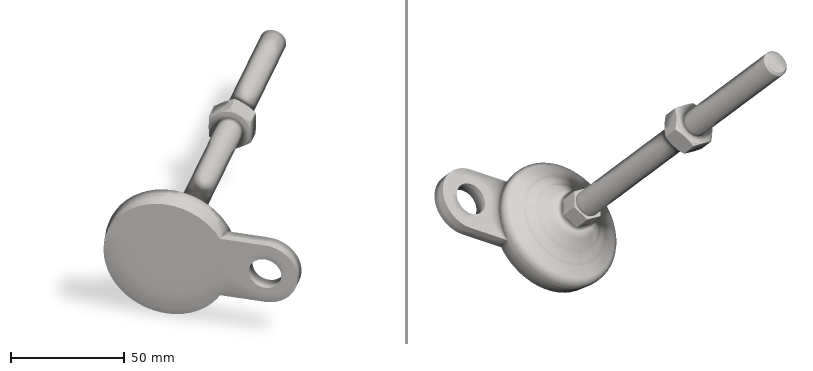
import cadquery as cq
import math

total_length = 182.0

rim_radius = 30.0
base_radius = 28.8
rim_bottom = 7.3
rim_top = 9.0
flare_radius, flare_height = 27.0, 12.5
shoulder_radius, shoulder_height = 11.8, 20.5
shoulder_mid_radius, shoulder_mid_height = 10.5, 21.5
crown_radius = 8.7
crown_height = 22.0

lug_radius = 15.0
lug_thickness = 6.7
lug_reach = 60.0
hole_diameter = 15.0
lug_center = lug_reach - lug_radius

neck_diameter = 10.0
stem_diameter = 12.0
stem_chamfer = 1.1
lower_hex_bottom = 23.1
lower_hex_height = 8.7
lower_hex_flats = 14.0
lock_nut_bottom = 107.2
lock_nut_height = 9.5
lock_nut_flats = 19.1
nut_chamfer_angle = 30.0


def plane_at(height):
    """Plane facing +Y, with local x along X and local y along -Z."""
    return cq.Workplane(cq.Plane((0, height, 0), (1, 0, 0), (0, 1, 0)))


def rod(diameter, bottom, top):
    return plane_at(bottom).circle(diameter / 2).extrude(top - bottom)


def hex_prism(flats, bottom, height):
    """Hexagon with two corners on the Z axis and two flats facing X."""
    corners = flats / math.cos(math.radians(30))
    section = plane_at(bottom).transformed(rotate=(0, 0, 90)).polygon(6, corners)
    return section.extrude(height)


def make_pad():
    return (
        cq.Workplane("XY")
        .lineTo(base_radius, 0)
        .lineTo(rim_radius, rim_bottom)
        .lineTo(rim_radius, rim_top)
        .tangentArcPoint((flare_radius, flare_height), relative=False)
        .tangentArcPoint((shoulder_radius, shoulder_height), relative=False)
        .threePointArc((shoulder_mid_radius, shoulder_mid_height), (crown_radius, crown_height))
        .lineTo(0, crown_height)
        .close()
        .revolve(360, (0, 0), (0, 1))
    )


def make_lug():
    bar = plane_at(0).center(lug_center / 2, 0).rect(lug_center, 2 * lug_radius).extrude(lug_thickness)
    end = plane_at(0).center(lug_center, 0).circle(lug_radius).extrude(lug_thickness)
    hole = plane_at(0).center(lug_center, 0).circle(hole_diameter / 2).extrude(lug_thickness)
    return bar.union(end).cut(hole)


def make_lock_nut():
    """Hexagon nut with its corners turned down by a cone at both ends."""
    face_radius = lock_nut_flats / 2
    corner_radius = face_radius / math.cos(math.radians(30))
    corner_drop = (corner_radius - face_radius) * math.tan(math.radians(nut_chamfer_angle))
    top = lock_nut_bottom + lock_nut_height
    envelope = (
        cq.Workplane("XY")
        .moveTo(0, lock_nut_bottom)
        .lineTo(face_radius, lock_nut_bottom)
        .lineTo(corner_radius, lock_nut_bottom + corner_drop)
        .lineTo(corner_radius, top - corner_drop)
        .lineTo(face_radius, top)
        .lineTo(0, top)
        .close()
        .revolve(360, (0, 0), (0, 1))
    )
    return hex_prism(lock_nut_flats, lock_nut_bottom, lock_nut_height).intersect(envelope)


neck = rod(neck_diameter, crown_height, lower_hex_bottom)
lower_hex = hex_prism(lower_hex_flats, lower_hex_bottom, lower_hex_height)
stem = rod(stem_diameter, lower_hex_bottom, total_length).faces(">Y").chamfer(stem_chamfer)

result = make_pad().union(make_lug()).union(neck).union(lower_hex).union(stem).union(make_lock_nut())